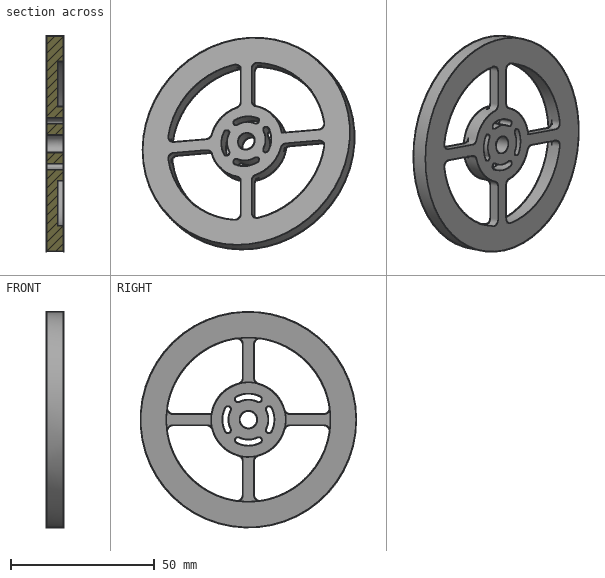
import cadquery as cq
import math

wheel_diameter = 75.0
wheel_width = 6.0
rim_inner_radius = 28.5
hub_radius = 13.0
bore_diameter = 6.0

spoke_count = 4
spoke_width = 4.0
spoke_thickness = 4.0
corner_radius = 2.0

slot_inner_radius = 7.0
slot_outer_radius = 9.0
slot_half_angle = 27.0

flush_face_x = -wheel_width / 2
spoke_half_width = spoke_width / 2
pitch_angle = 360 / spoke_count
window_middle_angle = pitch_angle / 2
sharp_window_index = 1


def ring(outer_radius, inner_radius, length):
    """Ring about X, starting at the flush face."""
    return (
        cq.Workplane("YZ", origin=(flush_face_x, 0, 0))
        .circle(outer_radius)
        .circle(inner_radius)
        .extrude(length)
    )


def polar(radius, angle):
    """Point at the given radius and angle in degrees."""
    return (radius * math.cos(math.radians(angle)), radius * math.sin(math.radians(angle)))


def turned(body, index):
    """Body turned about the wheel axis by whole spoke pitches."""
    return body.rotate((0, 0, 0), (1, 0, 0), index * pitch_angle)


def window():
    """Opening between the +Y and +Z spokes, with sharp corners."""
    hub_reach = math.sqrt(hub_radius**2 - spoke_half_width**2)
    rim_reach = math.sqrt(rim_inner_radius**2 - spoke_half_width**2)
    return (
        cq.Workplane("YZ", origin=(flush_face_x, 0, 0))
        .moveTo(hub_reach, spoke_half_width)
        .lineTo(rim_reach, spoke_half_width)
        .threePointArc(polar(rim_inner_radius, window_middle_angle), (spoke_half_width, rim_reach))
        .lineTo(spoke_half_width, hub_reach)
        .threePointArc(polar(hub_radius, window_middle_angle), (hub_reach, spoke_half_width))
        .close()
        .extrude(spoke_thickness)
    )


def rounded_window(index):
    """Window with rounded corners; one hub corner of the whole wheel stays sharp."""
    body = window()
    corners = body.edges("|X")
    if index == sharp_window_index:
        corners = corners.filter(lambda edge: not is_sharp_corner(edge))
    return turned(corners.fillet(corner_radius), index)


def is_sharp_corner(edge):
    """True for the hub corner on the +Z side of the unturned window."""
    centre = edge.Center()
    near_hub = math.hypot(centre.y, centre.z) < (hub_radius + rim_inner_radius) / 2
    return near_hub and centre.z > centre.y


def hub_slot():
    """Curved slot centred on +Y with rounded ends."""
    middle_radius = (slot_inner_radius + slot_outer_radius) / 2
    end_radius = (slot_outer_radius - slot_inner_radius) / 2
    end_y, end_z = polar(middle_radius, slot_half_angle)
    tip_y, tip_z = polar(end_radius, slot_half_angle + 90)
    upper_tip = (end_y + tip_y, end_z + tip_z)
    lower_tip = (upper_tip[0], -upper_tip[1])
    return (
        cq.Workplane("YZ", origin=(flush_face_x, 0, 0))
        .moveTo(*polar(slot_inner_radius, -slot_half_angle))
        .threePointArc((slot_inner_radius, 0), polar(slot_inner_radius, slot_half_angle))
        .threePointArc(upper_tip, polar(slot_outer_radius, slot_half_angle))
        .threePointArc((slot_outer_radius, 0), polar(slot_outer_radius, -slot_half_angle))
        .threePointArc(lower_tip, polar(slot_inner_radius, -slot_half_angle))
        .close()
        .extrude(wheel_width)
    )


result = ring(wheel_diameter / 2, bore_diameter / 2, spoke_thickness)
for index in range(spoke_count):
    result = result.cut(rounded_window(index))
result = result.union(ring(wheel_diameter / 2, rim_inner_radius, wheel_width))
result = result.union(ring(hub_radius, bore_diameter / 2, wheel_width))
for index in range(spoke_count):
    result = result.cut(turned(hub_slot(), index))